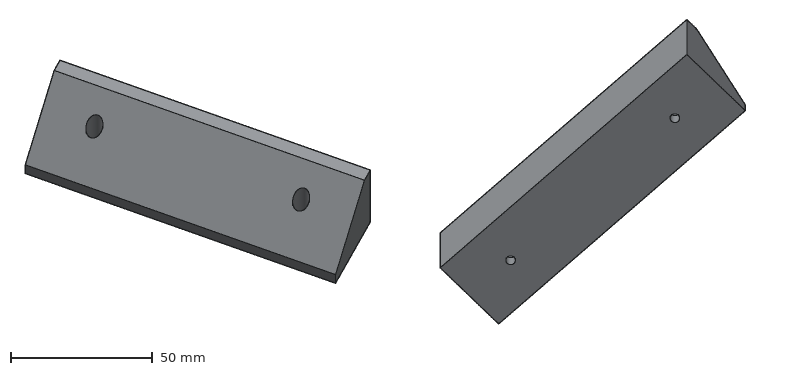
import cadquery as cq

length = 120.0
leg = 30.0
lip = 5.0

hole_end_distance = 20.0
hole_diameter = 3.4
counterbore_diameter = 6.0
counterbore_floor = 6.0

hole_spacing = length - 2 * hole_end_distance

block = (
    cq.Workplane("YZ")
    .moveTo(-leg / 2, 0)
    .lineTo(leg / 2, 0)
    .lineTo(leg / 2, leg)
    .lineTo(leg / 2 - lip, leg)
    .lineTo(-leg / 2, lip)
    .close()
    .extrude(length / 2, both=True)
)


def vertical_holes(diameter, bottom):
    """Cutters for both holes, from the given height up to the top of the block."""
    return (
        cq.Workplane("XY", origin=(0, 0, bottom))
        .rarray(hole_spacing, 1.2, 2, 1)
        .circle(diameter / 2)
        .extrude(leg - bottom)
    )


through_holes = vertical_holes(hole_diameter, 0)
counterbores = vertical_holes(counterbore_diameter, counterbore_floor)
result = block.cut(through_holes).cut(counterbores)